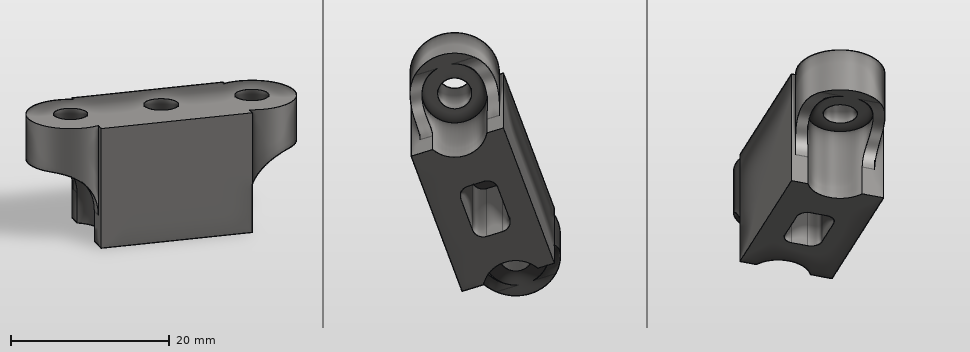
import cadquery as cq

width = 12.3
block_length = 20.0
height = 16.0

total_length = 35.27
ear_radius = 5.65
ear_thickness = 6.0
ear_y = total_length / 2 - ear_radius
axis_x = 5.82
support_radius = 6.0

ear_hole_diameter = 4.3
center_hole_diameter = 4.4
center_hole_depth = 2.08
head_clearance_radius = 4.13
pocket_width = 4.95
pocket_length = 7.4
pocket_corner_radius = 1.4

block_end = block_length / 2
ear_underside = height - ear_thickness


def cylinder(y, radius, bottom, top):
    """Vertical cylinder on the hole line."""
    return cq.Workplane("XY", origin=(axis_x, y, bottom)).circle(radius).extrude(top - bottom)


def make_block():
    return cq.Workplane("XY").box(width, block_length, height, centered=(False, True, False))


def make_ear(side):
    """Round ear with a concave quarter-round underneath; side is +1 or -1 along Y."""
    ear = cylinder(side * ear_y, ear_radius, 0, height)
    curve_end = block_end + support_radius
    curve_bottom = ear_underside - support_radius
    undercut = (
        cq.Workplane("YZ")
        .moveTo(side * block_end, 0)
        .lineTo(side * block_end, curve_bottom)
        .radiusArc((side * curve_end, ear_underside), side * support_radius)
        .lineTo(side * total_length, ear_underside)
        .lineTo(side * total_length, 0)
        .close()
        .extrude(width)
    )
    return ear.cut(undercut).cut(make_block())


def make_center_pocket():
    """Rounded rectangular pocket, open at the bottom."""
    return (
        cq.Workplane("XY", origin=(axis_x, 0, 0))
        .rect(pocket_width, pocket_length)
        .extrude(height - center_hole_depth)
        .edges("|Z")
        .fillet(pocket_corner_radius)
    )


result = make_block()
for side in (-1, 1):
    result = result.union(make_ear(side))

for side in (-1, 1):
    result = result.cut(cylinder(side * ear_y, head_clearance_radius, 0, ear_underside))
    result = result.cut(cylinder(side * ear_y, ear_hole_diameter / 2, 0, height))

result = result.cut(cylinder(0, center_hole_diameter / 2, 0, height))
result = result.cut(make_center_pocket())